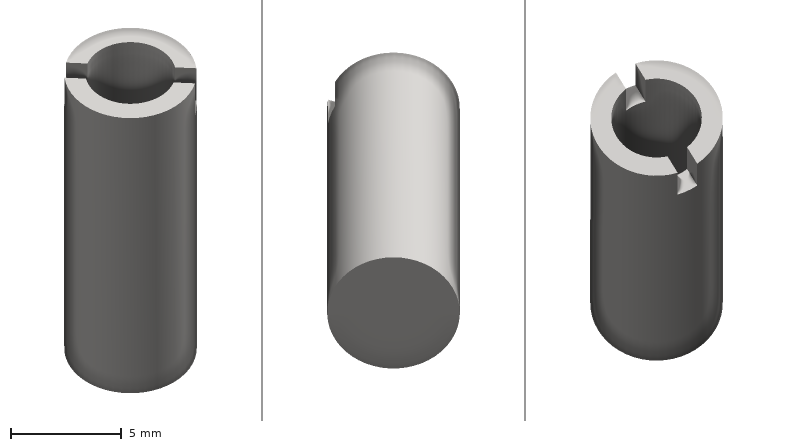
import cadquery as cq
import math

length = 17.0
outer_diameter = 6.0
bore_diameter = 4.1
bore_depth = 13.6
drill_point_angle = 118.0
slot_width = 1.0
slot_depth = 2.0
slot_angle = 45.0

bore_radius = bore_diameter / 2
point_depth = bore_radius / math.tan(math.radians(drill_point_angle / 2))


def make_bore():
    """Blind drilled hole with a conical bottom, revolved about Z."""
    bore_floor = length - bore_depth
    return (
        cq.Workplane("XZ")
        .moveTo(0, length)
        .lineTo(bore_radius, length)
        .lineTo(bore_radius, bore_floor)
        .lineTo(0, bore_floor - point_depth)
        .close()
        .revolve(360, (0, 0, 0), (0, 1, 0))
    )


def make_slot():
    """Screwdriver slot across the whole top end."""
    slot_length = 2 * outer_diameter
    return (
        cq.Workplane("XY")
        .box(slot_length, slot_width, slot_depth, centered=(True, True, False))
        .translate((0, 0, length - slot_depth))
        .rotate((0, 0, 0), (0, 0, 1), slot_angle)
    )


body = cq.Workplane("XY").circle(outer_diameter / 2).extrude(length)
result = body.cut(make_bore()).cut(make_slot())